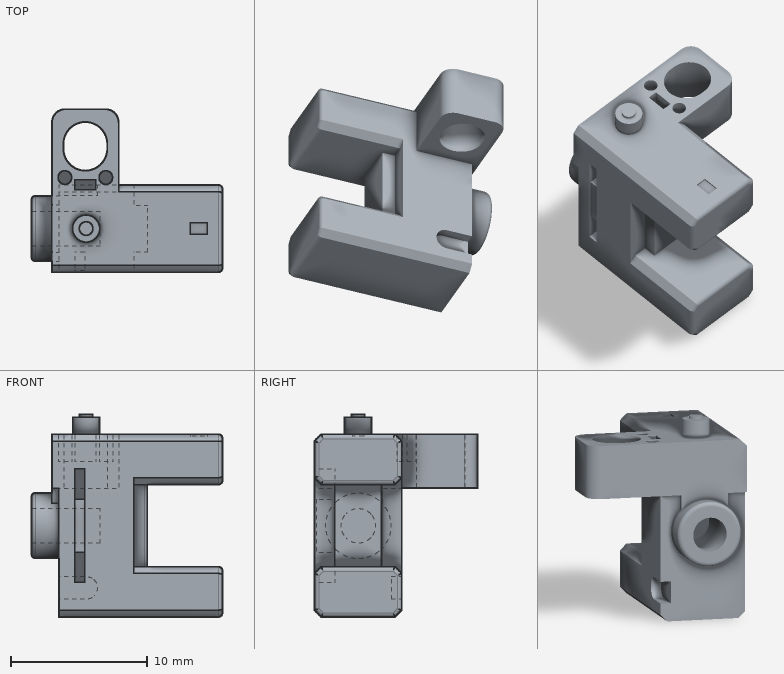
import cadquery as cq


body_length = 12.0
body_depth = 6.4
arm_height = 3.7
gap_height = 6.0
body_height = 2 * arm_height + gap_height
web_length = 5.5
edge_chamfer = 0.5
end_fillet = 0.33
mid_y = body_depth / 2
mid_z = body_height / 2

tongue_length = 1.0
tongue_margin = 1.48
tongue_lead_in = 0.24
tongue_taper = 0.022

plate_overhang = 0.5
plate_width = 4.9
plate_depth = 11.95
plate_thickness = 3.95
plate_corner_radius = 1.0
plate_bottom = body_height - plate_thickness
plate_mid_x = plate_width / 2 - plate_overhang
tab_width = 3.5

window_width = 3.2
window_length = 3.55
window_y = 9.22
dowel_hole_diameter = 1.0
dowel_hole_spacing = 3.0
dowel_hole_y = 6.93
pocket_width = 1.55
pocket_length = 0.71
plate_hole_depth = 2.0

mark_width = 1.26
mark_length = 0.83
mark_depth = 0.13
mark_x = 10.25

pin_x = 2.0
pin_diameter = 1.99
pin_height = 1.25
tip_diameter = 1.0
tip_height = 0.21

boss_diameter = 4.8
boss_length = 2.0
boss_fillet = 0.3
bore_diameter = 2.52
bore_depth = 5.0

slot_left = 1.17
slot_width = 0.73
slot_height = 8.33
slot_depth = 1.48
bar_height = 3.89
bar_recess = 0.13

notch_height = 1.63
notch_depth = 0.77
notch_z = 2.15
notch_arc_x = pin_x


def box(x, y, z, length, depth, height):
    """Box with its lowest corner at (x, y, z)."""
    return cq.Workplane("XY").box(length, depth, height, centered=False).translate((x, y, z))


def on_top(x, y, z=body_height):
    """Horizontal workplane centred at (x, y)."""
    return cq.Workplane("XY", origin=(x, y, z))


def make_arm(z):
    """Arm with its long edges chamfered and its free end rounded."""
    arm = box(web_length, 0, z, body_length - web_length, body_depth, arm_height)
    return arm.edges("|X").chamfer(edge_chamfer).faces(">X").edges().fillet(end_fillet)


def make_web():
    web = box(0, 0, 0, web_length, body_depth, body_height)
    web = web.edges("|X").chamfer(edge_chamfer)
    for z in (0, arm_height + gap_height):
        web = web.union(make_arm(z))
    return web


def make_tongue():
    front = tongue_margin
    back = body_depth - tongue_margin
    tip = web_length + tongue_length
    shoulder = tip - tongue_lead_in
    outline = [
        (web_length, front),
        (shoulder, front),
        (tip, front + tongue_taper),
        (tip, back - tongue_taper),
        (shoulder, back),
        (web_length, back),
    ]
    return cq.Workplane("XY", origin=(0, 0, arm_height)).polyline(outline).close().extrude(gap_height)


def make_plate():
    plate = box(-plate_overhang, 0, plate_bottom, plate_width, plate_depth, plate_thickness)
    plate = plate.edges("|Z and >Y").fillet(plate_corner_radius)
    plate = plate.edges("|X and >Z and <Y").chamfer(edge_chamfer)
    tab = box(-plate_overhang, mid_y - tab_width / 2, mid_z, plate_overhang, tab_width, plate_bottom - mid_z)
    return plate.union(tab)


def cut_plate_openings(part):
    window = on_top(plate_mid_x, window_y).slot2D(window_length, window_width, 90).extrude(-plate_thickness)
    dowels = (
        on_top(plate_mid_x, dowel_hole_y)
        .rarray(dowel_hole_spacing, 0.15, 2, 1)
        .circle(dowel_hole_diameter / 2)
        .extrude(-plate_hole_depth)
    )
    pocket = on_top(plate_mid_x, body_depth).rect(pocket_width, pocket_length).extrude(-plate_hole_depth)
    mark = on_top(mark_x, mid_y).rect(mark_width, mark_length).extrude(-mark_depth)
    return part.cut(window).cut(dowels).cut(pocket).cut(mark)


def make_pin():
    shank = on_top(pin_x, mid_y).circle(pin_diameter / 2).extrude(pin_height)
    tip = on_top(pin_x, mid_y, body_height + pin_height).circle(tip_diameter / 2).extrude(tip_height)
    return shank.union(tip)


def add_boss(part):
    face = cq.Workplane("YZ", origin=(-boss_length, mid_y, mid_z))
    boss = face.circle(boss_diameter / 2).extrude(boss_length).faces("<X").edges().fillet(boss_fillet)
    bore = face.circle(bore_diameter / 2).extrude(bore_depth)
    return part.union(boss).cut(bore)


def cut_front_slot(part):
    slot = box(slot_left, 0, mid_z - slot_height / 2, slot_width, slot_depth, slot_height)
    bar_depth = slot_depth - bar_recess
    bar = box(slot_left, bar_recess, mid_z - bar_height / 2, slot_width, bar_depth, bar_height)
    return part.cut(slot.cut(bar))


def cut_rear_notch(part):
    notch_front = body_depth - notch_depth
    channel = box(0, notch_front, notch_z - notch_height / 2, notch_arc_x, notch_depth, notch_height)
    round_end = (
        cq.Workplane("XZ", origin=(notch_arc_x, notch_front, notch_z))
        .circle(notch_height / 2)
        .extrude(-notch_depth)
    )
    return part.cut(channel.union(round_end))


result = make_web().union(make_tongue()).union(make_plate()).union(make_pin())
result = cut_plate_openings(result)
result = add_boss(result)
result = cut_front_slot(result)
result = cut_rear_notch(result)